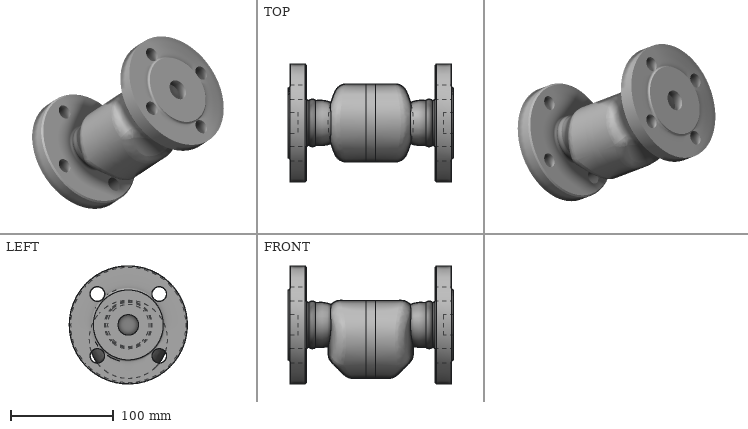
import cadquery as cq
import math

overall_length = 161.0

flange_diameter = 115.0
flange_length = 18.0
raised_face_diameter = 68.0
raised_face_height = 2.0
back_chamfer = 1.5
bolt_circle_diameter = 85.0
bolt_hole_diameter = 14.0
bolt_hole_count = 4
bolt_start_angle = 45.0
bore_diameter = 20.0
bore_depth = 10.0

neck_diameter = 44.0
hub_radius = 2.0
land_width = 0.5
bead_width = 6.5
bead_height = 1.2
neck_arc_radius = 28.0
neck_crown_offset = 3.5
neck_root_x = 30.0

body_diameter = 76.0
body_drop = 14.0
body_length = 83.0
body_end_radius = 73.0
rim_radius = 12.0
bevel_depth = 74.5
middle_ring_width = 9.0

end_x = overall_length / 2
seat_x = end_x - raised_face_height
flange_back_x = end_x - flange_length
hub_end_x = flange_back_x - hub_radius
bead_start_x = hub_end_x - land_width
bead_end_x = bead_start_x - bead_width
neck_r = neck_diameter / 2
body_r = body_diameter / 2
body_end_x = body_length / 2
ring_x = middle_ring_width / 2
arc_inset = 1 - math.sqrt(0.5)


def revolve_about_pipe(profile):
    """Turn a closed profile, drawn as (x, radius), about the pipe axis."""
    return profile.close().revolve(360, (0, 0, 0), (1, 0, 0))


def make_flange():
    """Flange at +X with raised face, hub fillet, weld bead, bolt holes and blind bore."""
    rim_r = flange_diameter / 2
    face_r = raised_face_diameter / 2
    hub_root_r = neck_r + hub_radius
    hub_inset = hub_radius * arc_inset
    face_inset = raised_face_height * arc_inset
    bead_middle_x = (bead_start_x + bead_end_x) / 2
    profile = (
        cq.Workplane("XY")
        .moveTo(bead_end_x, 0)
        .lineTo(bead_end_x, neck_r)
        .threePointArc((bead_middle_x, neck_r + bead_height), (bead_start_x, neck_r))
        .lineTo(hub_end_x, neck_r)
        .threePointArc((flange_back_x - hub_inset, neck_r + hub_inset), (flange_back_x, hub_root_r))
        .lineTo(flange_back_x, rim_r - back_chamfer)
        .lineTo(flange_back_x + back_chamfer, rim_r)
        .lineTo(seat_x, rim_r)
        .lineTo(seat_x, face_r + raised_face_height)
        .threePointArc((seat_x + face_inset, face_r + face_inset), (end_x, face_r))
        .lineTo(end_x, 0)
    )
    bolt_holes = (
        cq.Workplane("YZ", origin=(flange_back_x, 0, 0))
        .polarArray(bolt_circle_diameter / 2, bolt_start_angle, 360, bolt_hole_count)
        .circle(bolt_hole_diameter / 2)
        .extrude(flange_length)
    )
    bore = (
        cq.Workplane("YZ", origin=(end_x - bore_depth, 0, 0))
        .circle(bore_diameter / 2)
        .extrude(bore_depth)
    )
    return revolve_about_pipe(profile).cut(bolt_holes).cut(bore)


def make_neck():
    """Neck at +X: a short cylindrical land, then a barrel curve narrowing into the body."""
    arc_start_x = bead_end_x - land_width
    crown_x = arc_start_x - neck_crown_offset
    arc_center_r = neck_r - math.sqrt(neck_arc_radius**2 - neck_crown_offset**2)
    root_r = arc_center_r + math.sqrt(neck_arc_radius**2 - (crown_x - neck_root_x) ** 2)
    profile = (
        cq.Workplane("XY")
        .moveTo(neck_root_x, 0)
        .lineTo(neck_root_x, root_r)
        .threePointArc((crown_x, arc_center_r + neck_arc_radius), (arc_start_x, neck_r))
        .lineTo(bead_end_x, neck_r)
        .lineTo(bead_end_x, 0)
    )
    return revolve_about_pipe(profile)


def body_cylinder(start_x, stop_x):
    """Stretch of the eccentric body cylinder between two places on X."""
    return (
        cq.Workplane("YZ", origin=(start_x, 0, -body_drop))
        .circle(body_r)
        .extrude(stop_x - start_x)
    )


def make_plan_prism():
    """Prism along Z that gives the body its bulged end in plan."""
    side_x = body_end_x - body_end_radius + math.sqrt(body_end_radius**2 - body_r**2)
    return (
        cq.Workplane("XY", origin=(0, 0, -body_drop))
        .moveTo(ring_x, -body_r)
        .lineTo(side_x, -body_r)
        .threePointArc((body_end_x, 0), (side_x, body_r))
        .lineTo(ring_x, body_r)
        .close()
        .extrude(body_r, both=True)
    )


def make_bevel_prism():
    """Triangular prism along Y whose 45 degree side bevels the underside of the body end."""
    return (
        cq.Workplane("XZ")
        .moveTo(0, -bevel_depth)
        .lineTo(bevel_depth + body_r, body_r)
        .lineTo(0, body_r)
        .close()
        .extrude(body_r, both=True)
    )


def make_body_half():
    """Housing half at +X: rounded end of the eccentric body, with its neck."""
    cylinder = body_cylinder(ring_x, body_end_x)
    blank = cylinder.intersect(make_plan_prism()).intersect(make_bevel_prism())
    sharp_edges = blank.edges("%BSPLINE or %ELLIPSE")
    return sharp_edges.fillet(rim_radius).union(make_neck())


flange = make_flange()
body_half = make_body_half()
middle_ring = body_cylinder(-ring_x, ring_x)

bodies = [middle_ring.val()]
for side_part in (flange, body_half):
    bodies.append(side_part.val())
    bodies.append(side_part.mirror("YZ").val())

result = cq.Compound.makeCompound(bodies)